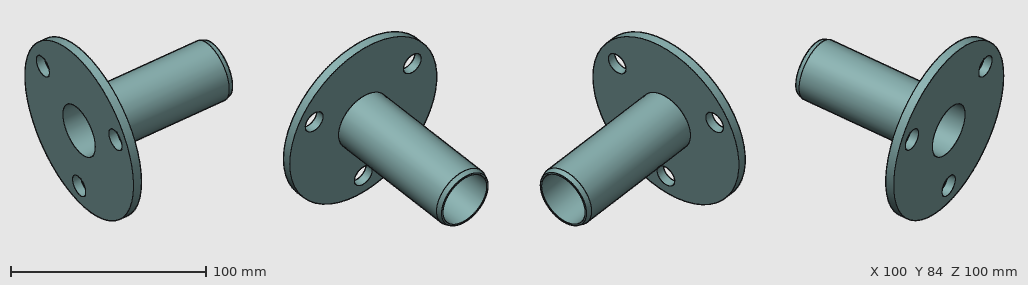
import cadquery as cq

flange_diameter = 100.0
flange_thickness = 5.0

total_length = 84.0
tube_diameter = 33.7
tube_wall = 2.0
bore_diameter = tube_diameter - 2 * tube_wall

bevel_length = 2.8
bevel_depth = 1.0

hole_count = 3
hole_diameter = 12.0
hole_circle_radius = 38.5
first_hole_angle = -90.0


def make_body():
    """Revolve the flange and bevelled tube, including the through bore."""
    bore_radius = bore_diameter / 2
    tube_radius = tube_diameter / 2
    flange_radius = flange_diameter / 2
    profile = (
        cq.Workplane("XY")
        .moveTo(bore_radius, 0)
        .lineTo(flange_radius, 0)
        .lineTo(flange_radius, flange_thickness)
        .lineTo(tube_radius, flange_thickness)
        .lineTo(tube_radius, total_length - bevel_length)
        .lineTo(tube_radius - bevel_depth, total_length)
        .lineTo(bore_radius, total_length)
        .close()
    )
    return profile.revolve(360, (0, 0, 0), (0, 1, 0))


def make_mounting_holes():
    """Cylinders that pass through the flange, evenly spaced around the axis."""
    return (
        cq.Workplane("XZ")
        .polarArray(hole_circle_radius, first_hole_angle, 360, hole_count)
        .circle(hole_diameter / 2)
        .extrude(-flange_thickness)
    )


result = make_body().cut(make_mounting_holes())